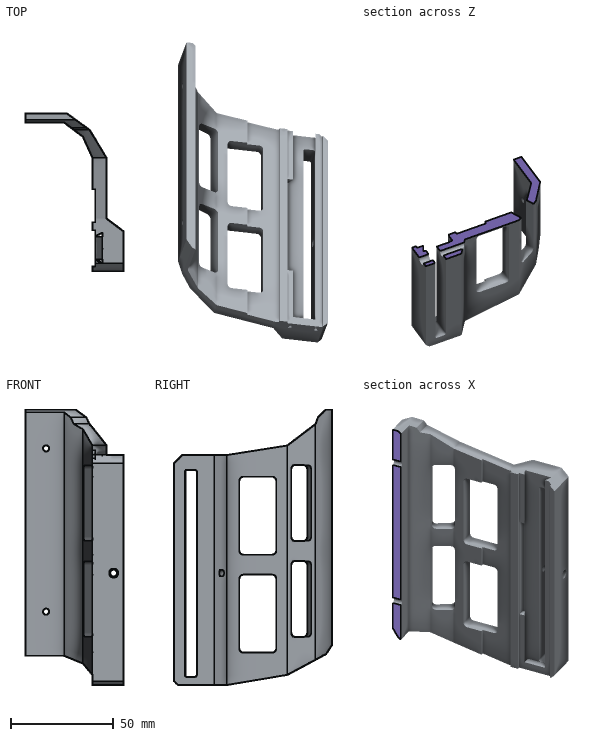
import cadquery as cq
import math

WIDTH = 48.03
DEPTH = 77.48
HEIGHT = 135.0

FLANGE_THICKNESS = 4.5
FLANGE_INNER_Y = DEPTH - FLANGE_THICKNESS
FLANGE_INNER_X = 18.9
FLANGE_OUTER_X = 20.3
BEND_INNER = (28.1, 66.0)
BEND_OUTER = (31.5, 69.3)
WALL_INNER_X = 32.8
WALL_OUTER_X = 39.8
WALL_BACK_Y = 55.6
RAIL_TAPER_BACK_Y = 25.9
RAIL_TAPER_FRONT_Y = 19.7

RELIEF_DEPTH = 1.3
RELIEF_X = WALL_INNER_X + RELIEF_DEPTH
WALL_STRIP_FRONT_Y = 40.2
RIDGE_BACK_Y = 24.2
RIDGE_FRONT_Y = 20.1
FRONT_STRIP_Y = 2.5

RAIL_TOP_Z = 112.8
RAIL_TOP_CHAMFER = 4.0
RAIL_BOTTOM_CHAMFER = 2.0
WALL_TOP_BACK_Z = 117.5
WALL_BOTTOM_BACK_Z = 5.0
TOP_BEVEL_START_Y = 74.3
TOP_BEVEL_SIZE = 3.8
TOP_STEP_END = (69.4, 128.0)
FLANGE_BOTTOM_Z = 19.6
FLANGE_BOTTOM_KNEE = (74.6, 15.2)

GROOVE_FLOOR_X = 37.7
GROOVE_MOUTH_Y = (5.8, 17.1)
GROOVE_FLOOR_Y = (4.2, 18.9)
STOP_HEIGHT = 4.0
LIP_NOTCH_STEP = 0.2
LIP_NOTCH_X = (RELIEF_X, GROOVE_FLOOR_X - LIP_NOTCH_STEP)
LIP_NOTCH_BACK_Y = RIDGE_FRONT_Y - LIP_NOTCH_STEP
LIP_NOTCH_Z = (31.1, 84.4)

SLOT_Y = (5.3, 11.2)
SLOT_Z = (4.1, 105.4)
SLOT_RADIUS = 1.0

WINDOW_RADIUS = 2.0
WALL_WINDOW_Y = (32.1, 50.1)
WALL_WINDOW_HEIGHT = 38.1
WALL_WINDOW_BOTTOMS = (16.0, 64.0)
PANEL_WINDOW_WIDTH = 11.2
PANEL_WINDOW_HEIGHT = 37.1
PANEL_WINDOW_BOTTOMS = (23.7, 70.7)
PANEL_WINDOW_BACK_OFFSET = 0.8

FLANGE_HOLE_DIAMETER = 2.9
FLANGE_HOLE_X = 10.1
FLANGE_HOLE_HEIGHTS = (36.0, 116.0)
RAIL_HOLE_DIAMETER = 3.3
RAIL_BORE_DIAMETER = 4.5
RAIL_HOLE_X = 43.2
RAIL_HOLE_Z = 54.9


def box(x_range, y_range, z_range):
    """Axis-aligned box between the given limits."""
    size = [high - low for low, high in (x_range, y_range, z_range)]
    corner = (x_range[0], y_range[0], z_range[0])
    return cq.Workplane("XY").box(*size, centered=False).translate(corner)


def y_cylinder(diameter, x, z, y_range):
    """Cylinder along +Y between the given limits."""
    axis_start = cq.Vector(x, y_range[0], z)
    length = y_range[1] - y_range[0]
    return cq.Workplane(cq.Solid.makeCylinder(diameter / 2, length, axis_start, cq.Vector(0, 1, 0)))


def make_body():
    """Plan section extruded upward and trimmed to the side outline."""
    plan = [
        (0, DEPTH),
        (FLANGE_OUTER_X, DEPTH),
        BEND_OUTER,
        (WALL_OUTER_X, WALL_BACK_Y),
        (WALL_OUTER_X, RAIL_TAPER_BACK_Y),
        (WIDTH, RAIL_TAPER_FRONT_Y),
        (WIDTH, 0),
        (WALL_INNER_X, 0),
        (WALL_INNER_X, FRONT_STRIP_Y),
        (RELIEF_X, FRONT_STRIP_Y),
        (RELIEF_X, RIDGE_FRONT_Y),
        (WALL_INNER_X, RIDGE_FRONT_Y),
        (WALL_INNER_X, RIDGE_BACK_Y),
        (RELIEF_X, RIDGE_BACK_Y),
        (RELIEF_X, WALL_STRIP_FRONT_Y),
        (WALL_INNER_X, WALL_STRIP_FRONT_Y),
        (WALL_INNER_X, WALL_BACK_Y),
        BEND_INNER,
        (FLANGE_INNER_X, FLANGE_INNER_Y),
        (0, FLANGE_INNER_Y),
    ]
    side = [
        (DEPTH, HEIGHT),
        (TOP_BEVEL_START_Y, HEIGHT),
        (TOP_BEVEL_START_Y - TOP_BEVEL_SIZE, HEIGHT - TOP_BEVEL_SIZE),
        TOP_STEP_END,
        (WALL_BACK_Y, WALL_TOP_BACK_Z),
        (RAIL_TAPER_BACK_Y, RAIL_TOP_Z),
        (RAIL_TOP_CHAMFER, RAIL_TOP_Z),
        (0, RAIL_TOP_Z - RAIL_TOP_CHAMFER),
        (0, RAIL_BOTTOM_CHAMFER),
        (RAIL_BOTTOM_CHAMFER, 0),
        (RAIL_TAPER_BACK_Y, 0),
        (WALL_BACK_Y, WALL_BOTTOM_BACK_Z),
        FLANGE_BOTTOM_KNEE,
        (DEPTH, FLANGE_BOTTOM_Z),
    ]
    column = cq.Workplane("XY").polyline(plan).close().extrude(HEIGHT)
    envelope = cq.Workplane("YZ").polyline(side).close().extrude(WIDTH)
    return column.intersect(envelope)


def make_groove():
    """Full-height dovetail with a stop at its foot and its back lip removed over the middle."""
    section = [
        (RELIEF_X, GROOVE_MOUTH_Y[0]),
        (GROOVE_FLOOR_X, GROOVE_FLOOR_Y[0]),
        (GROOVE_FLOOR_X, GROOVE_FLOOR_Y[1]),
        (RELIEF_X, GROOVE_MOUTH_Y[1]),
    ]
    dovetail = cq.Workplane("XY").polyline(section).close().extrude(HEIGHT)
    groove_x = (RELIEF_X, GROOVE_FLOOR_X)
    stop = box(groove_x, GROOVE_MOUTH_Y, (0, STOP_HEIGHT))
    lip_notch = box(LIP_NOTCH_X, (GROOVE_MOUTH_Y[0], LIP_NOTCH_BACK_Y), LIP_NOTCH_Z)
    return dovetail.cut(stop).union(lip_notch)


def make_slot():
    """Slot from the groove floor out through the rail."""
    return box((GROOVE_FLOOR_X, WIDTH), SLOT_Y, SLOT_Z).edges("|X").fillet(SLOT_RADIUS)


def make_wall_window(bottom):
    """Rounded window straight through the side wall."""
    window = box((WALL_INNER_X, WALL_OUTER_X), WALL_WINDOW_Y, (bottom, bottom + WALL_WINDOW_HEIGHT))
    return window.edges("|X").fillet(WINDOW_RADIUS)


def make_panel_window(bottom):
    """Rounded window cut square to the inner face of the angled panel."""
    run_x = WALL_INNER_X - BEND_INNER[0]
    run_y = WALL_BACK_Y - BEND_INNER[1]
    tilt = math.degrees(math.atan2(run_x, -run_y))
    reach = WALL_OUTER_X - WALL_INNER_X
    back = -PANEL_WINDOW_BACK_OFFSET
    window = box(
        (-reach, 2 * reach),
        (back - PANEL_WINDOW_WIDTH, back),
        (bottom, bottom + PANEL_WINDOW_HEIGHT),
    )
    window = window.edges("|X").fillet(WINDOW_RADIUS)
    return window.rotate((0, 0, 0), (0, 0, 1), tilt).translate((*BEND_INNER, 0))


def make_rail_hole():
    """Cross hole through the rail, wider through the wall in front of the slot."""
    through = y_cylinder(RAIL_HOLE_DIAMETER, RAIL_HOLE_X, RAIL_HOLE_Z, (0, RAIL_TAPER_BACK_Y))
    bore = y_cylinder(RAIL_BORE_DIAMETER, RAIL_HOLE_X, RAIL_HOLE_Z, (0, SLOT_Y[0]))
    return through.union(bore)


def make_flange_hole(height):
    """Screw hole straight through the flange."""
    return y_cylinder(FLANGE_HOLE_DIAMETER, FLANGE_HOLE_X, height, (FLANGE_INNER_Y, DEPTH))


result = make_body().cut(make_groove()).cut(make_slot()).cut(make_rail_hole())
for window_bottom in WALL_WINDOW_BOTTOMS:
    result = result.cut(make_wall_window(window_bottom))
for window_bottom in PANEL_WINDOW_BOTTOMS:
    result = result.cut(make_panel_window(window_bottom))
for hole_height in FLANGE_HOLE_HEIGHTS:
    result = result.cut(make_flange_hole(hole_height))